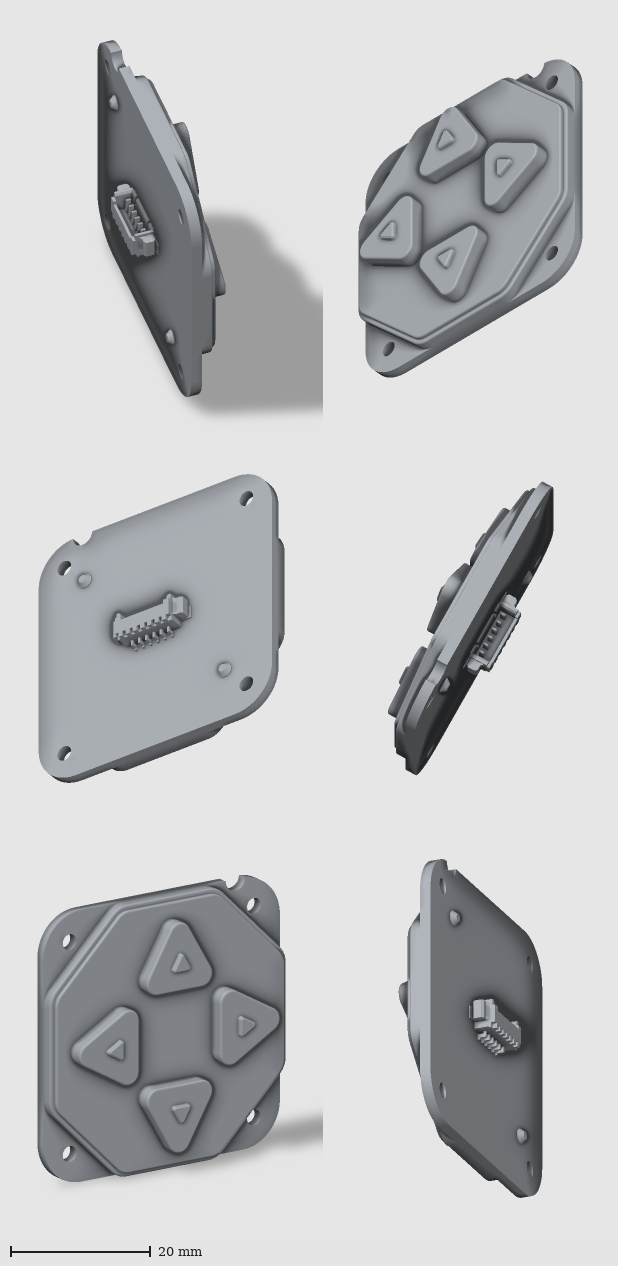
import cadquery as cq
import math


board_side = 40.65
board_thickness = 1.63
board_corner_radius = 6.42
mount_hole_offset = 15.85
mount_hole_diameter = 2.35
notch_x = -12.7
notch_radius = 1.65

housing_flat_length = 17.0
housing_corner_radius = 3.5
housing_back = 3.3
upper_layer_inset = 0.7
upper_layer_back = 3.95
housing_edge_radius = 0.3

key_center_offset = 11.0
key_inradius = 4.02
key_corner_radius = 1.83
key_back = 6.4
key_edge_radius = 0.33
marker_inradius = 1.1
marker_corner_radius = 0.5
marker_back = 7.1
marker_draft = 10
marker_edge_chamfer = 0.2

rivet_offset = 12.2
rivet_base_radius = 1.15
rivet_rim_height = 0.15
rivet_tip_radius = 0.6
rivet_height = 0.85

shell_half_width = 4.67
shell_top = 2.2
shell_bottom = -2.0
shell_back = -0.15
shell_front = -3.37
pad_half_width = 4.23
front_wall_thickness = 0.4
front_wall_top = 1.25
front_window_half_width = 3.7
front_window_bottom = 0.65
lip_bottom = -2.15
lip_back = -2.4
cavity_half_width = 4.0
cavity_floor = -1.0
cavity_back = -0.45
mouth_bevel_height = 0.3
mouth_side_bevel = 0.3
mouth_back_bevel = 0.15
latch_slot_center = 2.6
latch_slot_width = 0.5
relief_top = -1.42
relief_depth = 0.65
relief_width = 0.55

pin_count = 6
pin_pitch = 1.25
pin_width = 0.33
pin_back = -0.95
pin_front = -1.65
pin_top = 1.65
pin_tip_chamfer = 0.12
riser_back = -0.95
tail_front = -1.4
tail_top = -2.3
tail_bottom = -2.9
foot_front = -0.4
foot_bottom = -3.15

ear_top = 1.75
ear_bottom = -1.0
ear_tip = 6.1
ear_back = -0.35
ear_front = -2.1
ear_corner = 0.33
ear_root_slope = 0.35
ear_solder_tip = 6.4
ear_solder_half_height = 0.98
ear_solder_thickness = 0.2


def block(x_range, y_range, z_range):
    """Box spanning the given (low, high) ranges."""
    sizes = [high - low for low, high in (x_range, y_range, z_range)]
    return (
        cq.Workplane("XY")
        .box(*sizes, centered=False)
        .translate((x_range[0], y_range[0], z_range[0]))
    )


def plane_at(y):
    """XZ workplane at height y; a negative extrusion runs toward the back."""
    return cq.Workplane("XZ", origin=(0, y, 0))


def make_board():
    board = plane_at(0).rect(board_side, board_side).extrude(-board_thickness)
    board = board.edges("|Y").fillet(board_corner_radius)
    hole_spacing = 2 * mount_hole_offset
    holes = (
        plane_at(0)
        .rect(hole_spacing, hole_spacing, forConstruction=True)
        .vertices()
        .circle(mount_hole_diameter / 2)
        .extrude(-board_thickness)
    )
    notch = (
        plane_at(0)
        .center(notch_x, board_side / 2)
        .circle(notch_radius)
        .extrude(-board_thickness)
    )
    return board.cut(holes).cut(notch)


def housing_layer(side, flat_length, corner_radius, front, back):
    """Square with its four corners cut at 45 degrees, all corners and the back rim rounded."""
    layer = plane_at(front).rect(side, side).extrude(front - back)
    layer = layer.edges("|Y").chamfer((side - flat_length) / 2)
    layer = layer.edges("|Y").fillet(corner_radius)
    return layer.faces(">Y").edges().fillet(housing_edge_radius)


def make_housing():
    lower = housing_layer(
        board_side, housing_flat_length, housing_corner_radius, board_thickness, housing_back
    )
    upper_flat = housing_flat_length - 2 * upper_layer_inset * math.tan(math.pi / 8)
    upper = housing_layer(
        board_side - 2 * upper_layer_inset,
        upper_flat,
        housing_corner_radius - upper_layer_inset,
        housing_back,
        upper_layer_back,
    )
    return lower.union(upper)


def rounded_triangle(inradius, corner_radius, front, back, draft=0):
    """Equilateral prism pointing to +X, lying key_center_offset from the middle."""
    half_base = math.sqrt(3) * inradius
    corners = [(2 * inradius, 0), (-inradius, half_base), (-inradius, -half_base)]
    profile = cq.Sketch().polygon(corners + corners[:1]).vertices().fillet(corner_radius)
    return (
        plane_at(front)
        .center(key_center_offset, 0)
        .placeSketch(profile)
        .extrude(front - back, taper=draft)
    )


def make_key():
    key = rounded_triangle(key_inradius, key_corner_radius, upper_layer_back, key_back)
    key = key.faces(">Y").edges().fillet(key_edge_radius)
    marker = rounded_triangle(
        marker_inradius, marker_corner_radius, key_back, marker_back, marker_draft
    )
    marker = marker.faces(">Y").edges().chamfer(marker_edge_chamfer)
    return key.union(marker)


def make_rivet():
    profile = [
        (0, 0),
        (rivet_base_radius, 0),
        (rivet_base_radius, -rivet_rim_height),
        (rivet_tip_radius, -rivet_height),
        (0, -rivet_height),
    ]
    return cq.Workplane("XY").polyline(profile).close().revolve(360, (0, 0), (0, 1))


def make_mouth_bevel(front):
    """Cutter that widens the top of the cavity toward the side walls and the back wall."""
    depth = cavity_back - front
    return (
        cq.Workplane("XY", origin=(0, front + depth / 2, shell_top - mouth_bevel_height))
        .rect(2 * cavity_half_width, depth)
        .workplane(offset=mouth_bevel_height)
        .center(0, mouth_back_bevel / 2)
        .rect(2 * (cavity_half_width + mouth_side_bevel), depth + mouth_back_bevel)
        .loft(ruled=True)
    )


def make_shell(pin_positions):
    width = (-shell_half_width, shell_half_width)
    front_wall_back = shell_front + front_wall_thickness
    shell = block(width, (front_wall_back, shell_back), (shell_bottom, shell_top))
    front_wall = block(width, (shell_front, front_wall_back), (shell_bottom, front_wall_top))
    lip = block(width, (shell_front, lip_back), (lip_bottom, shell_bottom))
    pad = block((-pad_half_width, pad_half_width), (shell_back, 0), (shell_bottom, shell_top))
    shell = shell.union(front_wall).union(lip).union(pad)

    cavity_width = (-cavity_half_width, cavity_half_width)
    shell = shell.cut(block(cavity_width, (front_wall_back, cavity_back), (cavity_floor, shell_top)))
    shell = shell.cut(make_mouth_bevel(front_wall_back))
    window_width = (-front_window_half_width, front_window_half_width)
    window = block(window_width, (shell_front, front_wall_back), (front_window_bottom, shell_top))
    shell = shell.cut(window)
    for side in (-1, 1):
        center = side * latch_slot_center
        slot_width = (center - latch_slot_width / 2, center + latch_slot_width / 2)
        shell = shell.cut(block(slot_width, (cavity_back, 0), (front_window_bottom, shell_top)))

    relief_y = (shell_front, shell_front + relief_depth)
    end_relief_center = shell_half_width - relief_width / 2
    for center in pin_positions + [-end_relief_center, end_relief_center]:
        relief_x = (center - relief_width / 2, center + relief_width / 2)
        shell = shell.cut(block(relief_x, relief_y, (lip_bottom, relief_top)))
    return shell


def make_pin(center):
    width = (center - pin_width / 2, center + pin_width / 2)
    contact = block(width, (pin_front, pin_back), (cavity_floor, pin_top))
    contact = contact.faces(">Z").edges().chamfer(pin_tip_chamfer)
    riser = block(width, (tail_front, riser_back), (tail_top, shell_bottom))
    tail = block(width, (tail_front, 0), (tail_bottom, tail_top))
    foot = block(width, (foot_front, 0), (foot_bottom, tail_bottom))
    return contact.union(riser).union(tail).union(foot)


def make_ear():
    """Retention ear on the +X end of the shell, with its flat solder tab."""
    shoulder = ear_tip - ear_corner
    outline = [
        (shell_half_width, ear_back),
        (shoulder, ear_back),
        (ear_tip, ear_back - ear_corner),
        (ear_tip, ear_front + ear_corner),
        (shoulder, ear_front),
        (shell_half_width + ear_root_slope, ear_front),
        (shell_half_width, ear_front - ear_root_slope),
    ]
    ear = (
        cq.Workplane("XY", origin=(0, 0, ear_bottom))
        .polyline(outline)
        .close()
        .extrude(ear_top - ear_bottom)
    )
    tab_height = (-ear_solder_half_height, ear_solder_half_height)
    tab = block((pad_half_width, ear_solder_tip), (-ear_solder_thickness, 0), tab_height)
    return ear.union(tab)


def make_connector():
    first_pin = -pin_pitch * (pin_count - 1) / 2
    pin_positions = [first_pin + pin_pitch * index for index in range(pin_count)]
    connector = make_shell(pin_positions)
    for position in pin_positions:
        connector = connector.union(make_pin(position))
    ear = make_ear()
    return connector.union(ear).union(ear.mirror("YZ"))


result = make_board().union(make_housing())

key = make_key()
for quarter_turn in range(4):
    result = result.union(key.rotate((0, 0, 0), (0, 1, 0), 90 * quarter_turn))

rivet = make_rivet()
for side in (-1, 1):
    result = result.union(rivet.translate((side * rivet_offset, 0, -side * rivet_offset)))

result = result.union(make_connector())